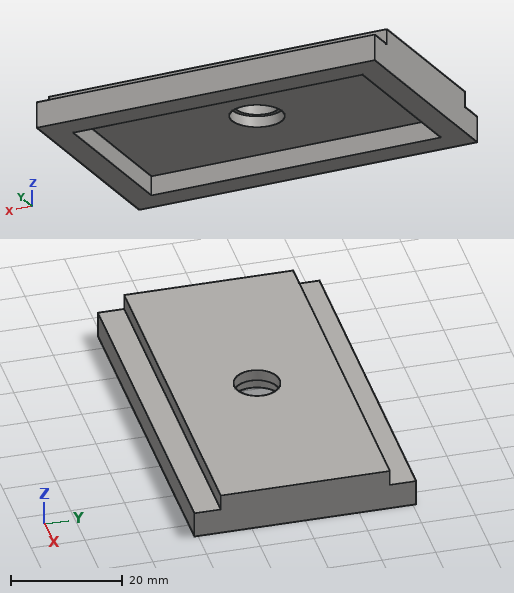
import cadquery as cq

length = 68.0
base_width = 41.3
total_height = 8.0
base_height = 5.0
ledge_width = 4.9
strip_width = base_width - 2 * ledge_width

hole_diameter = 8.4
hole_depth = 2.2
counterbore_diameter = 10.0

roof_thickness = 4.3
wall_thickness = ledge_width
pocket_depth = total_height - roof_thickness


def block(size_x, size_y, height, bottom=0.0):
    """Rectangular block centred on the Z axis, standing on the given level."""
    return (
        cq.Workplane("XY")
        .workplane(offset=bottom)
        .box(size_x, size_y, height, centered=(True, True, False))
    )


def cylinder(diameter, height):
    """Cylinder on the Z axis, rising from the underside."""
    return cq.Workplane("XY").circle(diameter / 2).extrude(height)


base = block(length, base_width, base_height)
strip = block(length, strip_width, total_height - base_height, base_height)
pocket = block(length - 2 * wall_thickness, base_width - 2 * wall_thickness, pocket_depth)
hole = cylinder(hole_diameter, total_height)
counterbore = cylinder(counterbore_diameter, total_height - hole_depth)

result = base.union(strip).cut(pocket).cut(counterbore).cut(hole)